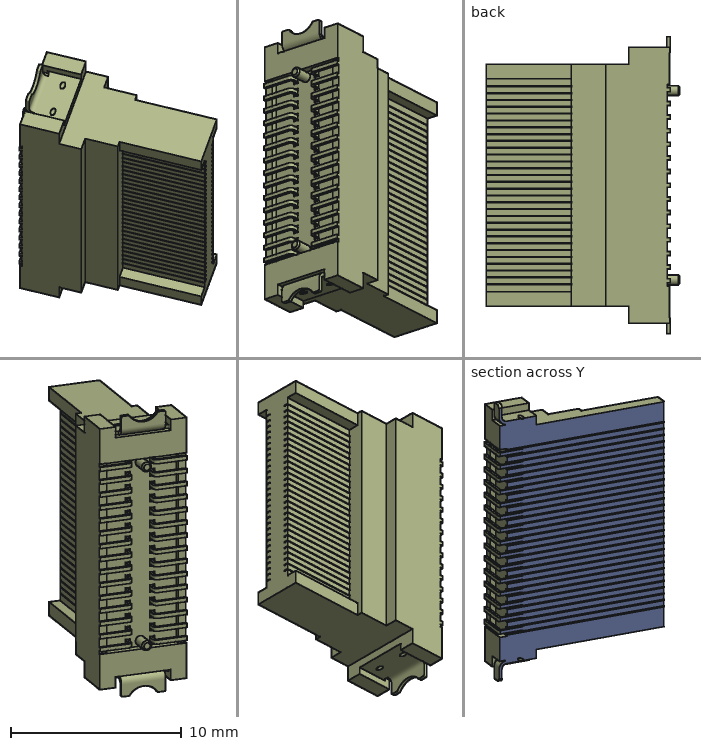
import cadquery as cq
import math

OVERCUT = 0.5

BASE_END_X = 2.4
FLANGE_END_X = 3.75
NECK_END_X = 5.75
MATING_END_X = 10.75
BASE_HALF_Y = 2.75
BASE_HALF_Z = 8.1
NECK_HALF_Y = 1.95
BODY_HALF_Z = 7.1

STACK_HALF_Y = 0.9
STACK_HALF_Z = 6.25
END_PLATE_HALF_Y = 1.6

CONTACTS_PER_ROW = 15
CONTACT_PITCH = 0.8
CONTACT_WIDTH = 0.25
CONTACT_FRONT_X = -0.05
CONTACT_INNER_Y = 0.68
CONTACT_BEND_RADIUS = 0.25
BLADE_CONTACT_WIDTH = 0.36
BLADE_CONTACT_START_X = 1.5

CHANNEL_HEIGHT = 0.45
CHANNEL_INNER_Y = 0.62
CHANNEL_OUTER_Y = 0.93

RECESS_HALF_Z = 5.9
RECESS_DEPTH = 0.12
INNER_RECESS_HALF_Y = 2.27
INNER_RECESS_DEPTH = 0.48

CONTACT_SHEET = RECESS_DEPTH - CONTACT_FRONT_X

PEG_TIP_X = -0.6
PEG_RADIUS = 0.3
PEG_CHAMFER = 0.1
PEG_Z = 5.55

NOTCH_HALF_Y = 1.75
NOTCH_FLOOR_Z = 7.65
SHELF_Z = 7.43
SHELF_DEPTH = 0.46
SHELF_CORNER_RADIUS = 0.12

DIMPLE_X = 1.5
DIMPLE_Y = 1.0
DIMPLE_HALF_LENGTH = 0.25
DIMPLE_HALF_WIDTH = 0.14

TAB_TIP_Z = 8.71
TAB_HALF_Y = 1.4
TAB_SHEET = 0.22
TAB_FRONT_X = -0.05
TAB_BEND_RADIUS = 0.5
TAB_CUTOUT_RADIUS = 1.05
TAB_CUTOUT_DEPTH = 0.5
TAB_CORNER_RADIUS = 0.1


def span_box(x_range, y_range, z_range):
    """Box given by its start and end along each axis."""
    sizes = [end - start for start, end in (x_range, y_range, z_range)]
    corner = (x_range[0], y_range[0], z_range[0])
    return cq.Workplane("XY").box(*sizes, centered=False).translate(corner)


def centred_box(x_range, half_y, half_z):
    """Box centred on the X axis."""
    return span_box(x_range, (-half_y, half_y), (-half_z, half_z))


def both_ends(solid):
    """The solid together with its mirror image at the opposite Z end."""
    return solid.union(solid.mirror("XY"))


def housing():
    base = centred_box((0, BASE_END_X), BASE_HALF_Y, BASE_HALF_Z)
    flange = centred_box((BASE_END_X, FLANGE_END_X), BASE_HALF_Y, BODY_HALF_Z)
    neck = centred_box((FLANGE_END_X, NECK_END_X), NECK_HALF_Y, BODY_HALF_Z)
    blade_x = (NECK_END_X, MATING_END_X)
    stack = centred_box(blade_x, STACK_HALF_Y, STACK_HALF_Z)
    end_plate = span_box(
        blade_x,
        (-END_PLATE_HALF_Y, END_PLATE_HALF_Y),
        (STACK_HALF_Z, BODY_HALF_Z),
    )
    return base.union(flange).union(neck).union(stack).union(both_ends(end_plate))


def recess_cutter():
    outer = centred_box((-OVERCUT, RECESS_DEPTH), BASE_HALF_Y + OVERCUT, RECESS_HALF_Z)
    inner = centred_box((-OVERCUT, INNER_RECESS_DEPTH), INNER_RECESS_HALF_Y, RECESS_HALF_Z)
    return outer.union(inner)


def end_notch_cutter():
    notch_y = (-NOTCH_HALF_Y, NOTCH_HALF_Y)
    top_z = BASE_HALF_Z + OVERCUT
    notch = span_box((-OVERCUT, BASE_END_X), notch_y, (NOTCH_FLOOR_Z, top_z))
    shelf = span_box((-OVERCUT, SHELF_DEPTH), notch_y, (SHELF_Z, NOTCH_FLOOR_Z))
    shelf = shelf.edges("|Z and >X").fillet(SHELF_CORNER_RADIUS)
    return both_ends(notch.union(shelf))


def dimple_cutter():
    """Spheroid dimples, long along Y, two in each notch floor."""
    dimple = (
        cq.Workplane("XY")
        .moveTo(0, -DIMPLE_HALF_LENGTH)
        .ellipseArc(DIMPLE_HALF_WIDTH, DIMPLE_HALF_LENGTH, -90, 90, startAtCurrent=True)
        .close()
        .revolve(360, (0, 0), (0, 1))
    )
    pair = dimple.translate((DIMPLE_X, DIMPLE_Y, NOTCH_FLOOR_Z))
    pair = pair.union(dimple.translate((DIMPLE_X, -DIMPLE_Y, NOTCH_FLOOR_Z)))
    return both_ends(pair)


def contact_channel():
    """Channel for one contact, open along the side of the mating stack."""
    half_height = CHANNEL_HEIGHT / 2
    return span_box(
        (0, MATING_END_X + OVERCUT),
        (CHANNEL_INNER_Y, CHANNEL_OUTER_Y),
        (-half_height, half_height),
    )


def contact():
    """One contact: solder foot, bend into the channel, and a wider blade along it."""
    bend_end_x = CONTACT_FRONT_X + CONTACT_BEND_RADIUS
    bend_start_y = CONTACT_INNER_Y + CONTACT_BEND_RADIUS
    inner_radius = CONTACT_BEND_RADIUS - CONTACT_SHEET
    diagonal = math.sqrt(0.5)

    def bend_point(radius):
        return bend_end_x - radius * diagonal, bend_start_y - radius * diagonal

    foot_back_x = CONTACT_FRONT_X + CONTACT_SHEET
    leg_outer_y = CONTACT_INNER_Y + CONTACT_SHEET
    lead = (
        cq.Workplane("XY")
        .moveTo(CONTACT_FRONT_X, BASE_HALF_Y)
        .lineTo(CONTACT_FRONT_X, bend_start_y)
        .threePointArc(bend_point(CONTACT_BEND_RADIUS), (bend_end_x, CONTACT_INNER_Y))
        .lineTo(BLADE_CONTACT_START_X, CONTACT_INNER_Y)
        .lineTo(BLADE_CONTACT_START_X, leg_outer_y)
        .lineTo(bend_end_x, leg_outer_y)
        .threePointArc(bend_point(inner_radius), (foot_back_x, bend_start_y))
        .lineTo(foot_back_x, BASE_HALF_Y)
        .close()
        .extrude(CONTACT_WIDTH / 2, both=True)
    )
    half_width = BLADE_CONTACT_WIDTH / 2
    blade = span_box(
        (BLADE_CONTACT_START_X, MATING_END_X),
        (CHANNEL_INNER_Y, STACK_HALF_Y),
        (-half_width, half_width),
    )
    return lead.union(blade)


def contact_places(solid):
    """Copies of a +Y contact feature at every position of both rows."""
    pair = solid.union(solid.mirror("XZ"))
    copies = cq.Workplane("XY")
    for index in range(CONTACTS_PER_ROW):
        z = (index - (CONTACTS_PER_ROW - 1) / 2) * CONTACT_PITCH
        copies.add(pair.translate((0, 0, z)).solids().vals())
    return copies.combine(clean=False)


def pegs():
    peg = (
        cq.Workplane("YZ")
        .workplane(offset=PEG_TIP_X)
        .circle(PEG_RADIUS)
        .extrude(INNER_RECESS_DEPTH - PEG_TIP_X)
        .faces("<X")
        .chamfer(PEG_CHAMFER)
    )
    return both_ends(peg.translate((0, 0, PEG_Z)))


def solder_tabs():
    """Tabs that leave the shelf walls, bend outwards and end in a round cut-out."""
    inner_radius = TAB_BEND_RADIUS - TAB_SHEET
    bend_x = TAB_FRONT_X + TAB_BEND_RADIUS
    bend_z = SHELF_Z + TAB_BEND_RADIUS
    diagonal = math.sqrt(0.5)

    def bend_point(radius):
        return bend_x - radius * diagonal, bend_z - radius * diagonal

    back_x = TAB_FRONT_X + TAB_SHEET
    tab = (
        cq.Workplane("XZ")
        .moveTo(TAB_FRONT_X, TAB_TIP_Z)
        .lineTo(TAB_FRONT_X, bend_z)
        .threePointArc(bend_point(TAB_BEND_RADIUS), (bend_x, SHELF_Z))
        .lineTo(SHELF_DEPTH, SHELF_Z)
        .lineTo(SHELF_DEPTH, SHELF_Z + TAB_SHEET)
        .lineTo(bend_x, SHELF_Z + TAB_SHEET)
        .threePointArc(bend_point(inner_radius), (back_x, bend_z))
        .lineTo(back_x, TAB_TIP_Z)
        .close()
        .extrude(TAB_HALF_Y, both=True)
    )
    cutout = (
        cq.Workplane("YZ")
        .workplane(offset=TAB_FRONT_X)
        .center(0, TAB_TIP_Z - TAB_CUTOUT_DEPTH + TAB_CUTOUT_RADIUS)
        .circle(TAB_CUTOUT_RADIUS)
        .extrude(TAB_SHEET)
    )
    tab = tab.cut(cutout).faces(">Z").edges("|X").fillet(TAB_CORNER_RADIUS)
    return both_ends(tab)


body = housing().cut(recess_cutter()).cut(end_notch_cutter()).cut(dimple_cutter())
body = body.cut(contact_places(contact_channel()))
result = body.union(contact_places(contact())).union(pegs()).union(solder_tabs())